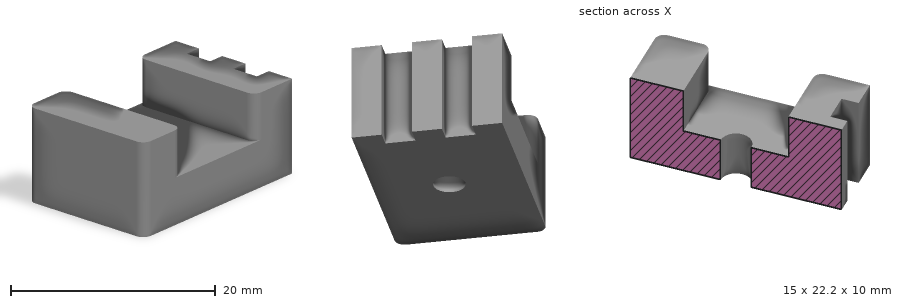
import cadquery as cq

width = 15.0
end_block_length = 5.6
channel_length = 11.0
length = channel_length + 2 * end_block_length
height = 10.0
floor_height = 5.0

corner_radius = 1.0
hole_diameter = 3.2
tooth_count = 3
notch_count = tooth_count - 1
notch_width = width / (tooth_count + notch_count)
notch_depth = 1.8

front_y = -length / 2
back_y = length / 2


def make_floor():
    """Base slab with its two front vertical edges rounded."""
    slab = cq.Workplane("XY").box(width, length, floor_height, centered=(True, True, False))
    return slab.edges("|Z and <Y").fillet(corner_radius)


def make_end_block(center_y, rounded_edges):
    """Raised block standing on the floor, with the selected vertical edges rounded."""
    block = (
        cq.Workplane("XY", origin=(0, center_y, floor_height))
        .box(width, end_block_length, height - floor_height, centered=(True, True, False))
    )
    return block.edges(rounded_edges).fillet(corner_radius)


def make_notches():
    """Full-height slots cut into the back face between the teeth."""
    notch_pitch = 2 * notch_width
    return (
        cq.Workplane("XY", origin=(0, back_y - notch_depth / 2, 0))
        .rarray(notch_pitch, 1, notch_count, 1)
        .rect(notch_width, notch_depth)
        .extrude(height)
    )


def make_hole():
    """Vertical through hole in the middle of the channel floor."""
    return cq.Workplane("XY").circle(hole_diameter / 2).extrude(floor_height)


front_block = make_end_block(front_y + end_block_length / 2, "|Z")
back_block = make_end_block(back_y - end_block_length / 2, "|Z and <Y")

body = make_floor().union(front_block).union(back_block).clean()
result = body.cut(make_notches()).cut(make_hole())